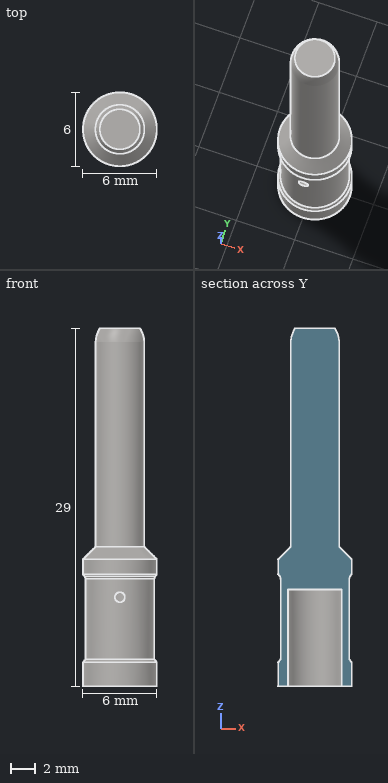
import cadquery as cq

total_height = 29.0
collar_diameter = 6.0
barrel_diameter = 5.6
pin_diameter = 3.97
tip_diameter = 3.25
cone_top_diameter = 4.12

rim_height = 1.95
rim_taper_height = 0.25
collar_bottom = 9.08
collar_top = 10.3
barrel_taper_top = 8.9
barrel_taper_height = 0.17
barrel_neck_diameter = 5.7
cone_top = 11.22
cone_lip_height = 0.1
nose_height = 1.13
nose_bulge = 0.1

inspection_hole_diameter = 0.8
inspection_hole_height = 7.22
bore_diameter = 4.32
bore_depth = 7.83

collar_radius = collar_diameter / 2
barrel_radius = barrel_diameter / 2
pin_radius = pin_diameter / 2
tip_radius = tip_diameter / 2
cone_top_radius = cone_top_diameter / 2
nose_bottom = total_height - nose_height


def turned_body():
    """Revolve the half profile of the rim, barrel, collar, cone and pin."""
    nose_middle = (
        (pin_radius + tip_radius) / 2 + nose_bulge,
        total_height - nose_height / 2,
    )
    profile = (
        cq.Workplane("XZ")
        .lineTo(collar_radius, 0)
        .lineTo(collar_radius, rim_height)
        .lineTo(barrel_radius, rim_height + rim_taper_height)
        .lineTo(barrel_radius, barrel_taper_top - barrel_taper_height)
        .lineTo(barrel_neck_diameter / 2, barrel_taper_top)
        .lineTo(collar_radius, collar_bottom)
        .lineTo(collar_radius, collar_top)
        .lineTo(cone_top_radius, cone_top)
        .lineTo(pin_radius, cone_top + cone_lip_height)
        .lineTo(pin_radius, nose_bottom)
        .threePointArc(nose_middle, (tip_radius, total_height))
        .lineTo(0, total_height)
        .close()
    )
    return profile.revolve(360, (0, 0), (0, 1))


def wire_bore():
    """Blind bore that opens at the bottom end."""
    return cq.Workplane("XY").circle(bore_diameter / 2).extrude(bore_depth)


def inspection_hole():
    """Radial hole through the -Y wall of the barrel into the bore."""
    return (
        cq.Workplane("XZ")
        .center(0, inspection_hole_height)
        .circle(inspection_hole_diameter / 2)
        .extrude(collar_radius)
    )


result = turned_body().cut(wire_bore()).cut(inspection_hole())